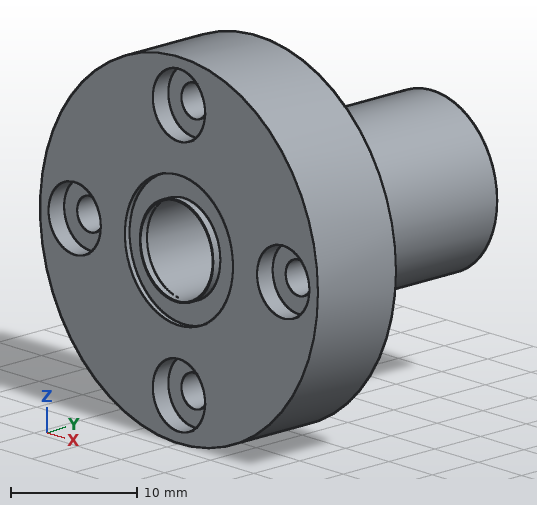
import cadquery as cq

flange_diameter = 32
flange_thickness = 8.5
barrel_diameter = 15.0
overall_length = 27.87

bore_diameter = 8.3
lip_diameter = 8.45
lip_projection = 0.25
recess_diameter = 12.45
recess_depth = 0.5

hole_count = 4
hole_circle_radius = 12.0
hole_diameter = 3.0
counterbore_diameter = 6.0
counterbore_depth = 1.7

body_length = overall_length - lip_projection


def cylinder(diameter, start, end):
    """Solid cylinder on the Y axis between two Y positions."""
    plane = cq.Workplane("XZ", origin=(0, start, 0))
    return plane.circle(diameter / 2).extrude(start - end)


def add_lip(body):
    """Sink the front recess and stand the sleeve lip on its floor."""
    recess = cylinder(recess_diameter, 0, recess_depth)
    lip = cylinder(lip_diameter, -lip_projection, recess_depth)
    return body.cut(recess).union(lip)


def drill_mounting_holes(body):
    """Drill the ring of counterbored holes through the flange."""
    return (
        body.copyWorkplane(cq.Workplane("XZ"))
        .polarArray(hole_circle_radius, 0, 360, hole_count)
        .cboreHole(hole_diameter, counterbore_diameter, counterbore_depth, flange_thickness)
    )


flange = cylinder(flange_diameter, 0, flange_thickness)
barrel = cylinder(barrel_diameter, flange_thickness, body_length)
bore = cylinder(bore_diameter, -lip_projection, body_length)

result = drill_mounting_holes(add_lip(flange.union(barrel)).cut(bore))